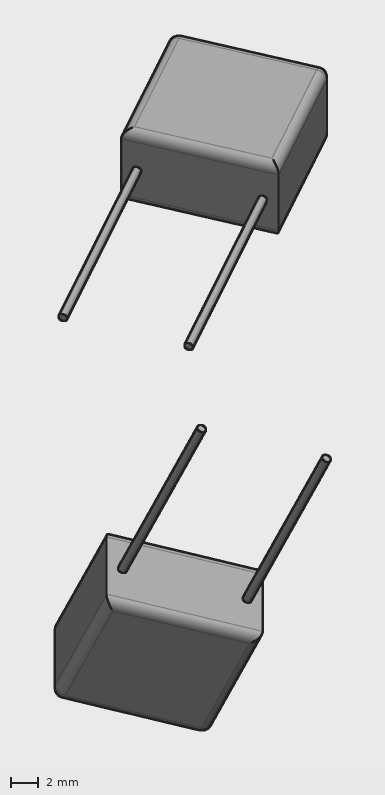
import cadquery as cq

overall_length = 27.85
case_width = 11.9
case_length = 11.4
case_height = 6.88
edge_radius = 0.75
lead_diameter = 0.67
lead_pitch = 9.5

lead_length = overall_length - case_length


def make_case():
    """Rounded block with its lead face on Y = 0; the upright edges of that face stay sharp."""
    block = cq.Workplane("XY").box(case_width, case_length, case_height, centered=(True, False, True))
    back_edges = block.edges("|Z and >Y")
    long_edges = block.edges("|X or |Y")
    return block.newObject(back_edges.vals() + long_edges.vals()).fillet(edge_radius)


def make_lead(x):
    """Straight round wire standing on the lead face and running toward -Y."""
    return cq.Workplane("XZ").center(x, 0).circle(lead_diameter / 2).extrude(lead_length)


case = make_case()

leads = []
for side in (-1, 1):
    leads.append(make_lead(side * lead_pitch / 2))

result = cq.Compound.makeCompound([case.val(), *[lead.val() for lead in leads]])